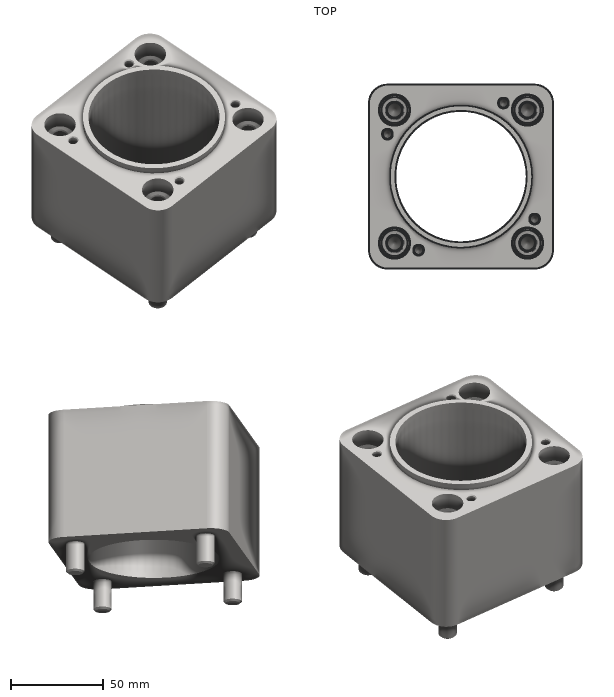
import cadquery as cq
import math

block_side = 99.7
block_height = 72.0
corner_radius = 10.2
ring_diameter = 77.0
ring_height = 4.0
bore_diameter = 71.0

screw_spacing = 72.0
shank_diameter = 10.0
shank_length = 70.0
tip_projection = 16.6
tip_chamfer = 1.0
head_diameter = 16.0
head_height = 10.0
head_chamfer = 1.0
socket_diameter = 8.0
socket_depth = 5.0
socket_chamfer = 0.6

clearance_diameter = 10.1
counterbore_diameter = 17.0
seat_z = shank_length - tip_projection

blind_hole_diameter = 4.9
blind_hole_depth = 12.0
blind_hole_chamfer = 0.55
blind_hole_circle_radius = 46.0
blind_hole_count = 4
first_blind_hole_angle = 60.0

drill_point_angle = 118.0

screw_places = [
    (x_side * screw_spacing / 2, y_side * screw_spacing / 2)
    for x_side in (-1, 1)
    for y_side in (-1, 1)
]


def make_drilled_hole(diameter, depth, chamfer):
    """Solid to cut away: chamfered mouth at Z = 0, straight wall, conical drill point."""
    radius = diameter / 2
    point_length = radius / math.tan(math.radians(drill_point_angle / 2))
    profile = (
        cq.Workplane("XZ")
        .lineTo(radius + chamfer, 0)
        .lineTo(radius, -chamfer)
        .lineTo(radius, -depth)
        .lineTo(0, -depth - point_length)
        .close()
    )
    return profile.revolve(360, (0, 0), (0, 1))


def make_housing():
    block = (
        cq.Workplane("XY")
        .rect(block_side, block_side)
        .extrude(block_height)
        .edges("|Z")
        .fillet(corner_radius)
    )
    ring = (
        cq.Workplane("XY")
        .workplane(offset=block_height)
        .circle(ring_diameter / 2)
        .extrude(ring_height)
    )
    bore = cq.Workplane("XY").circle(bore_diameter / 2).extrude(block_height + ring_height)
    clearance_holes = (
        cq.Workplane("XY")
        .pushPoints(screw_places)
        .circle(clearance_diameter / 2)
        .extrude(block_height)
    )
    counterbores = (
        cq.Workplane("XY")
        .workplane(offset=seat_z)
        .pushPoints(screw_places)
        .circle(counterbore_diameter / 2)
        .extrude(block_height - seat_z)
    )
    housing = block.union(ring).cut(bore).cut(clearance_holes).cut(counterbores)

    blind_hole = make_drilled_hole(blind_hole_diameter, blind_hole_depth, blind_hole_chamfer)
    for index in range(blind_hole_count):
        angle = math.radians(first_blind_hole_angle + index * 360 / blind_hole_count)
        x = blind_hole_circle_radius * math.cos(angle)
        y = blind_hole_circle_radius * math.sin(angle)
        housing = housing.cut(blind_hole.translate((x, y, block_height)))
    return housing


def make_screw(x, y):
    """Cap screw on a vertical axis, with its head resting on the counterbore floor."""
    shank = (
        cq.Workplane("XY")
        .circle(shank_diameter / 2)
        .extrude(-shank_length)
        .faces("<Z")
        .chamfer(tip_chamfer)
    )
    head = (
        cq.Workplane("XY")
        .circle(head_diameter / 2)
        .extrude(head_height)
        .faces(">Z")
        .chamfer(head_chamfer)
    )
    socket = make_drilled_hole(socket_diameter, socket_depth, socket_chamfer)
    screw = head.union(shank).cut(socket.translate((0, 0, head_height)))
    return screw.translate((x, y, seat_z))


housing = make_housing()
screws = [make_screw(x, y) for x, y in screw_places]

result = cq.Compound.makeCompound([housing.val(), *[screw.val() for screw in screws]])